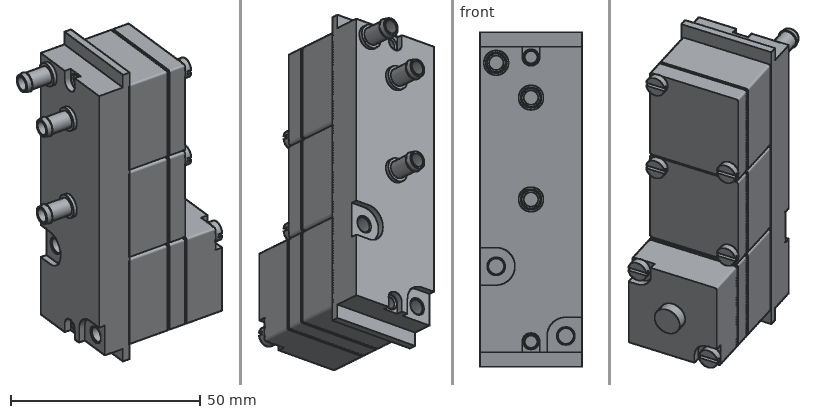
import cadquery as cq


base_width = 27.0
base_height = 80.7
base_depth = 9.8
flange_height = 88.5
flange_thickness = 2.1

module_count = 3
pitch = base_height / module_count
module_size = 26.5
corner_radius = 0.6
groove_width = 0.5
groove_depth = 0.3
lower_end = 22.4
cap_end = 28.0
actuator_end = 39.9
module_centers = [pitch * (i - (module_count - 1) / 2) for i in range(module_count)]
bottom_center = module_centers[0]
middle_center = module_centers[1]
top_center = module_centers[-1]

knob_diameter = 7.5
knob_height = 3.1

screw_diameter = 5.5
screw_height = 1.95
screw_slot_width = 0.9
screw_slot_depth = 1.15
screw_offset = 10.6
recess_radius = 4.1
recess_depth = 2.1

port_offset = 9.2
stem_diameter = 4.9
barb_diameter = 5.5
collar_diameter = 6.55
bore_diameter = 3.8
nipple_length = 9.0
collar_length = 1.1
barb_start = 7.4
port_diameter = 4.2
port_mouth_diameter = 4.8
pocket_depth = 1.9
pocket_radius = 5.0

mount_edge_distance = 2.7
mount_z = base_height / 2 - mount_edge_distance
mount_slot_width = 4.6
mount_diameter = 3.3
mount_mouth_diameter = 4.2


def block(width, height, y_start, y_end, x=0, z=0):
    """Box centred at (x, z) that fills y_start to y_end."""
    depth = y_end - y_start
    return cq.Workplane("XY").box(width, depth, height).translate((x, y_start + depth / 2, z))


def rod(diameter, y_start, y_end, x=0, z=0):
    """Cylinder along Y centred at (x, z)."""
    axis = cq.Vector(0, 1, 0)
    start = cq.Vector(x, y_start, z)
    return cq.Workplane(cq.Solid.makeCylinder(diameter / 2, y_end - y_start, start, axis))


def turned(profile, x, z):
    """Solid of revolution about a Y axis through (x, z) from (radius, y) points."""
    solid = cq.Workplane("XY").polyline(profile).close().revolve(360, (0, 0), (0, 1))
    return solid.translate((x, 0, z))


def make_base():
    plate = block(base_width, base_height, 0, base_depth)
    return plate.union(block(base_width, flange_height, base_depth - flange_thickness, base_depth))


def make_module(z, end):
    """Rounded sections up to `end`, separated by narrow grooves all round."""
    body = block(module_size, module_size, base_depth, end, z=z).edges("|Y").fillet(corner_radius)
    core_size = module_size - 2 * groove_depth
    for groove_start in (lower_end, cap_end):
        if groove_start < end:
            groove_end = groove_start + groove_width
            ring = block(base_width, base_width, groove_start, groove_end, z=z)
            body = body.cut(ring.cut(block(core_size, core_size, groove_start, groove_end, z=z)))
    return body


def make_screw(x, z, seat, height):
    head = rod(screw_diameter, seat, seat + height, x, z)
    top = seat + height
    return head.cut(block(screw_diameter, screw_slot_width, top - screw_slot_depth, top, x, z))


def corner_cut(radius, y_start, y_end, x, z, x_side, z_side):
    """Quarter-round corner pocket centred at (x, z), open toward the given sides."""
    reach = 2 * radius
    cut = rod(2 * radius, y_start, y_end, x, z)
    side_x = x + x_side * reach / 2
    side_z = z + z_side * reach / 2
    cut = cut.union(block(reach, 2 * radius, y_start, y_end, side_x, z))
    cut = cut.union(block(2 * radius, reach, y_start, y_end, x, side_z))
    return cut.union(block(reach, reach, y_start, y_end, side_x, side_z))


def add_nipple(body, x, z):
    profile = [
        (0, 0),
        (collar_diameter / 2, 0),
        (collar_diameter / 2, -collar_length),
        (stem_diameter / 2, -collar_length),
        (stem_diameter / 2, -barb_start),
        (barb_diameter / 2, -barb_start),
        (stem_diameter / 2, -nipple_length),
        (0, -nipple_length),
    ]
    return body.union(turned(profile, x, z)).cut(rod(bore_diameter, -nipple_length, base_depth, x, z))


def hole_with_chamfer(diameter, mouth_diameter, x, z):
    """Hole from the pocket floor through the base, with a 45 degree mouth."""
    chamfer = (mouth_diameter - diameter) / 2
    profile = [
        (0, pocket_depth),
        (mouth_diameter / 2, pocket_depth),
        (diameter / 2, pocket_depth + chamfer),
        (diameter / 2, base_depth),
        (0, base_depth),
    ]
    return turned(profile, x, z)


result = make_base()
side_port = (-port_offset, bottom_center + port_offset)
corner_port = (port_offset, bottom_center - port_offset)
side_pocket = rod(2 * pocket_radius, 0, pocket_depth, *side_port)
side_pocket = side_pocket.union(
    block(port_offset, 2 * pocket_radius, 0, pocket_depth, side_port[0] - port_offset / 2, side_port[1])
)
result = result.cut(side_pocket)
result = result.cut(corner_cut(pocket_radius, 0, pocket_depth, *corner_port, 1, -1))
for x, z in (side_port, corner_port):
    result = result.cut(hole_with_chamfer(port_diameter, port_mouth_diameter, x, z))
for side in (1, -1):
    z = side * mount_z
    slot_end = side * (mount_z + mount_slot_width / 2)
    slot = rod(mount_slot_width, 0, pocket_depth, 0, z)
    slot = slot.union(block(mount_slot_width, mount_slot_width, 0, pocket_depth, 0, slot_end))
    result = result.cut(slot)
    result = result.cut(hole_with_chamfer(mount_diameter, mount_mouth_diameter, 0, z))

for x, z in ((-port_offset, top_center + port_offset), (0, top_center), (0, middle_center)):
    result = add_nipple(result, x, z)

for center in module_centers:
    is_actuator = center == bottom_center
    end = actuator_end if is_actuator else cap_end
    seat = actuator_end - recess_depth if is_actuator else cap_end
    height = recess_depth if is_actuator else screw_height
    module = make_module(center, end)
    for side in (1, -1):
        x = side * screw_offset
        z = center + side * screw_offset
        if is_actuator:
            module = module.cut(corner_cut(recess_radius, seat, end, x, z, side, side))
        module = module.union(make_screw(x, z, seat, height))
    result = result.union(module)

result = result.union(rod(knob_diameter, actuator_end, actuator_end + knob_height, 0, bottom_center))